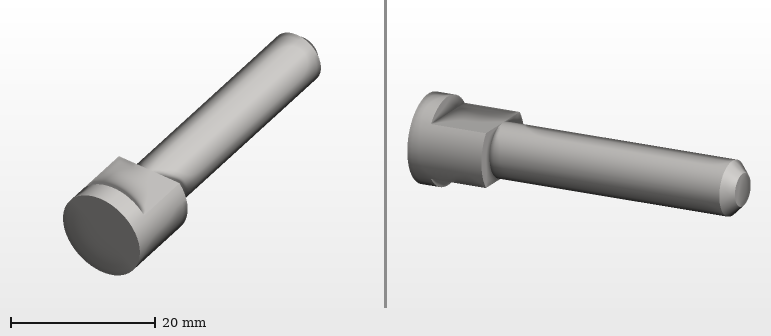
import cadquery as cq

total_length = 48.9
head_diameter = 13.0
head_length = 11.55
rim_length = 3.0
shank_diameter = 8.0
tip_chamfer = 1.6

flat_spacing = shank_diameter
flat_length = head_length - rim_length


def cylinder(diameter, start, length):
    """Solid cylinder on the Y axis, running towards +Y from start."""
    base = cq.Workplane("XZ", origin=(0, start, 0))
    return base.circle(diameter / 2).extrude(-length)


def make_head():
    """Round rim, followed by a section with flats above and below."""
    rim = cylinder(head_diameter, 0, rim_length)
    flatted = cylinder(head_diameter, rim_length, flat_length)
    slab = cq.Workplane("XY").box(head_diameter, 2 * head_length, flat_spacing)
    return rim.union(flatted.intersect(slab))


def make_shank():
    """Plain shank with a chamfered tip."""
    shank = cylinder(shank_diameter, head_length, total_length - head_length)
    return shank.faces(">Y").chamfer(tip_chamfer)


result = make_head().union(make_shank())